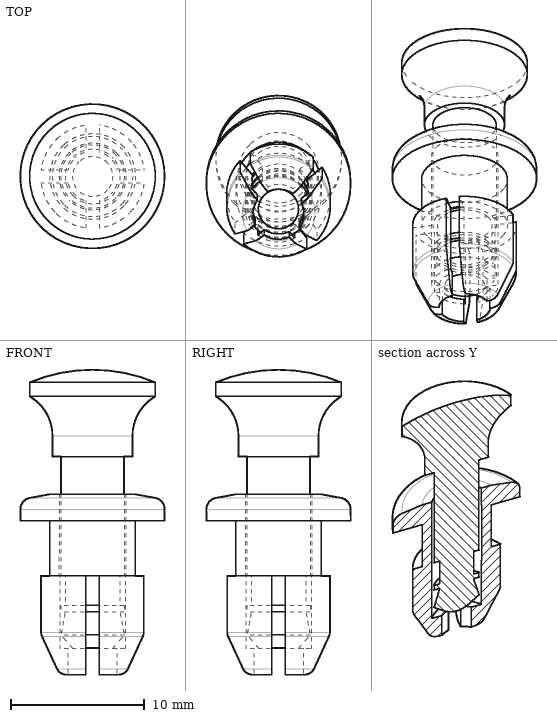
import cadquery as cq
import math


flange_radius = 5.4
flange_height = 2.0
flange_flat_radius = 3.2
flange_slope = math.radians(10.5)
flange_edge_radius = 0.87

body_radius = 3.2
bore_radius = 2.5
leg_radius = 3.88
leg_top = -4.1
leg_taper_top = -8.47
leg_bottom = -11.5
leg_taper_angle = math.radians(24.5)
leg_shoulder_fillet = 0.75
leg_tip_fillet = 0.8
tip_bore_radius = 1.9
slot_width = 1.0

head_radius = 4.7
head_top = 11.3
dome_height = 0.95
rim_height = 1.05
neck_radius = 3.0
neck_top = 6.35
neck_bottom = 4.8

shaft_radius = 2.37
groove_radius = 2.05
groove_top = leg_top
collar_top = -6.3
collar_bottom = -6.8
lock_end = -8.5
shaft_tip = -9.5
tip_radius = 1.5


def revolve(profile):
    """Turn a closed radius-height profile about the Z axis."""
    return profile.close().revolve(360, (0, 0, 0), (0, 1, 0))


def edges_at(height):
    """Select the edges centred at the given height."""
    reach = 2 * flange_radius
    tolerance = 0.01
    return cq.selectors.BoxSelector(
        (-reach, -reach, height - tolerance),
        (reach, reach, height + tolerance),
    )


def make_grommet():
    leg_length = leg_taper_top - leg_bottom
    leg_tip_radius = leg_radius - leg_length * math.tan(leg_taper_angle)
    flange_edge_top = flange_height - (flange_radius - flange_flat_radius) * math.tan(flange_slope)

    flange = revolve(
        cq.Workplane("XZ")
        .moveTo(0, 0)
        .lineTo(flange_radius, 0)
        .lineTo(flange_radius, flange_edge_top)
        .lineTo(flange_flat_radius, flange_height)
        .lineTo(0, flange_height)
    )
    flange = flange.edges(edges_at(flange_edge_top)).fillet(flange_edge_radius)

    legs = revolve(
        cq.Workplane("XZ")
        .moveTo(0, leg_bottom)
        .lineTo(leg_tip_radius, leg_bottom)
        .lineTo(leg_radius, leg_taper_top)
        .lineTo(leg_radius, leg_top)
        .lineTo(0, leg_top)
    )
    legs = legs.edges("<Z").fillet(leg_tip_fillet)
    legs = legs.edges(edges_at(leg_taper_top)).fillet(leg_shoulder_fillet)
    slot = cq.Workplane("XY").workplane(offset=leg_bottom).rect(2 * leg_radius, slot_width)
    slot = slot.extrude(leg_top - leg_bottom)
    for angle in (0, 90):
        legs = legs.cut(slot.rotate((0, 0, 0), (0, 0, 1), angle))

    body = cq.Workplane("XY").workplane(offset=leg_top).circle(body_radius).extrude(-leg_top)
    bore = cq.Workplane("XY").workplane(offset=shaft_tip).circle(bore_radius)
    bore = bore.extrude(flange_height - shaft_tip)
    tip_bore = cq.Workplane("XY").workplane(offset=leg_bottom).circle(tip_bore_radius)
    tip_bore = tip_bore.extrude(shaft_tip - leg_bottom)
    return flange.union(body).union(legs).cut(bore).cut(tip_bore)


def make_plunger():
    rim_top = head_top - dome_height
    rim_bottom = rim_top - rim_height
    dome_radius = (head_radius**2 + dome_height**2) / (2 * dome_height)
    flare_width = head_radius - neck_radius
    flare_height = rim_bottom - neck_top
    flare_radius = (flare_width**2 + flare_height**2) / (2 * flare_width)
    return revolve(
        cq.Workplane("XZ")
        .moveTo(0, shaft_tip)
        .lineTo(tip_radius, shaft_tip)
        .lineTo(shaft_radius, lock_end)
        .lineTo(groove_radius, collar_bottom)
        .lineTo(shaft_radius, collar_bottom)
        .lineTo(shaft_radius, collar_top)
        .lineTo(groove_radius, collar_top)
        .lineTo(groove_radius, groove_top)
        .lineTo(shaft_radius, groove_top)
        .lineTo(shaft_radius, neck_bottom)
        .lineTo(neck_radius, neck_bottom)
        .lineTo(neck_radius, neck_top)
        .radiusArc((head_radius, rim_bottom), flare_radius)
        .lineTo(head_radius, rim_top)
        .radiusArc((0, head_top), -dome_radius)
    )


grommet = make_grommet()
plunger = make_plunger()

result = cq.Compound.makeCompound([grommet.val(), plunger.val()])